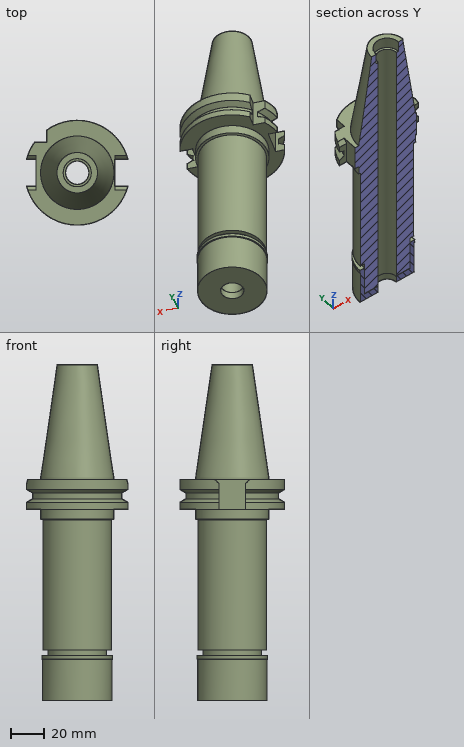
import cadquery as cq
import math

total_length = 203.4

gauge_diameter = 44.45
taper_length = 68.4
taper_ratio = 7 / 24

flange_diameter = 63.55
flange_gap = 1.0
flange_bottom_depth = 19.1
groove_center_depth = 11.0
groove_floor_diameter = 56.25
groove_floor_width = 3.5
groove_wall_angle = 30

slot_width = 16.1
slot_chamfer = 2.5
slot_floor_left = 25.0
slot_floor_right = 22.8
notch_offset = 18.5

shoulder_end_depth = 25.5
cone_height = 0.4
body_diameter = 41.6
neck_top = 30.6
neck_diameter = 35.5

stud_bore_diameter = 17.0
stud_bore_depth = 8.0
through_diameter = 14.0

nut_diameter = 42.1
rim_diameter = 42.8
nut_height = 27.5
rim_height = 2.6
nut_lip = 5.0

gauge_height = total_length - taper_length
flange_top = gauge_height - flange_gap
flange_bottom = gauge_height - flange_bottom_depth
shoulder_end = gauge_height - shoulder_end_depth
taper_top_diameter = gauge_diameter - taper_ratio * taper_length
groove_center = gauge_height - groove_center_depth
groove_half_floor = groove_floor_width / 2
groove_wall_drop = (flange_diameter - groove_floor_diameter) / 2 * math.tan(math.radians(groove_wall_angle))
groove_half_mouth = groove_half_floor + groove_wall_drop


def revolve_profile(points):
    """Solid of revolution about Z from (diameter, height) points."""
    outline = [(diameter / 2, height) for diameter, height in points]
    return cq.Workplane("YZ").polyline(outline).close().revolve(360, (0, 0), (0, 1))


def driver_slot(side, floor_distance):
    """Cutter for one driver slot, with its top edges chamfered; side is -1 or +1 along X."""
    half_width = slot_width / 2
    half_mouth = half_width + slot_chamfer
    outline = [
        (-half_width, flange_bottom),
        (half_width, flange_bottom),
        (half_width, flange_top - slot_chamfer),
        (half_mouth, flange_top),
        (-half_mouth, flange_top),
        (-half_width, flange_top - slot_chamfer),
    ]
    return (
        cq.Workplane("YZ", origin=(side * floor_distance, 0, 0))
        .polyline(outline)
        .close()
        .extrude(side * flange_diameter / 2)
    )


def orientation_notch():
    """Corner cutter for the square notch at -X, +Y, through the whole flange."""
    return (
        cq.Workplane("XY", origin=(-notch_offset, notch_offset, flange_bottom))
        .rect(-flange_diameter, flange_diameter, centered=False)
        .extrude(flange_top - flange_bottom)
    )


def make_holder():
    body = revolve_profile([
        (0, nut_lip),
        (neck_diameter, nut_lip),
        (neck_diameter, neck_top),
        (body_diameter, neck_top),
        (body_diameter, shoulder_end),
        (gauge_diameter, shoulder_end + cone_height),
        (gauge_diameter, flange_bottom),
        (flange_diameter, flange_bottom),
        (flange_diameter, groove_center - groove_half_mouth),
        (groove_floor_diameter, groove_center - groove_half_floor),
        (groove_floor_diameter, groove_center + groove_half_floor),
        (flange_diameter, groove_center + groove_half_mouth),
        (flange_diameter, flange_top),
        (gauge_diameter, flange_top),
        (gauge_diameter, gauge_height),
        (taper_top_diameter, total_length),
        (0, total_length),
    ])
    bore = revolve_profile([
        (0, 0),
        (through_diameter, 0),
        (through_diameter, total_length - stud_bore_depth),
        (stud_bore_diameter, total_length - stud_bore_depth),
        (stud_bore_diameter, total_length),
        (0, total_length),
    ])
    return (
        body.cut(bore)
        .cut(driver_slot(-1, slot_floor_left))
        .cut(driver_slot(1, slot_floor_right))
        .cut(orientation_notch())
    )


def make_nut():
    return revolve_profile([
        (through_diameter, 0),
        (nut_diameter, 0),
        (nut_diameter, nut_height - rim_height),
        (rim_diameter, nut_height - rim_height + cone_height),
        (rim_diameter, nut_height),
        (neck_diameter, nut_height),
        (neck_diameter, nut_lip),
        (through_diameter, nut_lip),
    ])


holder = make_holder()
nut = make_nut()

result = cq.Compound.makeCompound([holder.val(), nut.val()])